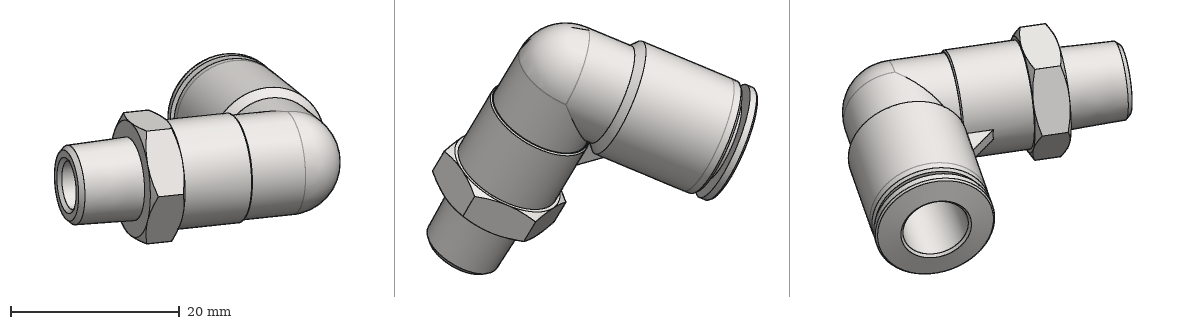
import cadquery as cq
import math


tube_diameter = 14.5
tube_length = 22.3
collar_bevel_start = 21.9
collar_bevel_end = 21.65
collar_back = 20.8
neck_flare_end = 20.4
socket_front = 19.93
socket_bevel_end = 19.6
socket_lip_end = 18.7
socket_lip_drop = 0.05
socket_back = 7.0
socket_taper_end = 6.0
collar_face_diameter = 14.1
neck_diameter = 9.35
neck_flare_diameter = 10.0

elbow_diameter = 12.5

overall_length = 35.15
thread_end = overall_length - tube_diameter / 2
thread_chamfer_length = 0.6
thread_chamfer_depth = 0.53
thread_base_diameter = 10.0
thread_taper = 1 / 16
sleeve_start = 6.75
sleeve_bevel = 0.18
sleeve_diameter = 13.1
hex_start = 15.45
hex_end = 19.85
hex_flats = 14.0
hex_chamfer_angle = 30.0

tube_bore_diameter = 7.95
tube_bore_end = 7.03
tube_lead_in = 0.3
inner_bore_diameter = 6.0
thread_bore_diameter = 5.8
thread_lead_in = 0.45

rib_reach = 17.0
rib_thickness = 1.48


def turned_x(profile):
    """Revolve (distance, radius) points about X, distances measured along -X."""
    points = [(-distance, radius) for distance, radius in profile]
    return cq.Workplane("XY").polyline(points).close().revolve(360, (0, 0), (1, 0))


def turned_y(profile):
    """Revolve (distance, radius) points about Y, distances measured along -Y."""
    points = [(radius, -distance) for distance, radius in profile]
    return cq.Workplane("XY").polyline(points).close().revolve(360, (0, 0), (0, 1))


tube_radius = tube_diameter / 2
elbow_radius = elbow_diameter / 2
tube_bore_radius = tube_bore_diameter / 2
inner_bore_radius = inner_bore_diameter / 2
thread_bore_radius = thread_bore_diameter / 2


def elbow():
    """Two equal cylinders mitred together with a ball on the outer corner."""
    ball = cq.Workplane("XY").sphere(elbow_radius)
    tube_arm = cq.Workplane("YZ").circle(elbow_radius).extrude(-socket_back)
    thread_arm = cq.Workplane("XZ").circle(elbow_radius).extrude(hex_start)
    return tube_arm.union(thread_arm).union(ball)


def tube_leg():
    """Release collar with a conical face, narrow neck and the socket body with its slightly tapered lip."""
    lip_radius = tube_radius - socket_lip_drop
    socket_bevel = socket_front - socket_bevel_end
    return turned_x([
        (0, 0),
        (0, elbow_radius),
        (socket_taper_end, elbow_radius),
        (socket_back, tube_radius),
        (socket_lip_end, tube_radius),
        (socket_bevel_end, lip_radius),
        (socket_front, lip_radius - socket_bevel),
        (socket_front, neck_diameter / 2),
        (neck_flare_end, neck_diameter / 2),
        (collar_back, neck_flare_diameter / 2),
        (collar_back, tube_radius),
        (collar_bevel_end, tube_radius),
        (collar_bevel_start, collar_face_diameter / 2),
        (tube_length, tube_bore_radius + tube_lead_in),
        (tube_length, 0),
    ])


def threaded_leg():
    """Sleeve next to the elbow and the tapered thread beyond the hexagon."""
    sleeve_radius = sleeve_diameter / 2
    base_radius = thread_base_diameter / 2
    chamfer_start = thread_end - thread_chamfer_length
    tip_radius = base_radius - (chamfer_start - hex_end) * thread_taper / 2
    return turned_y([
        (sleeve_start, 0),
        (sleeve_start, sleeve_radius - sleeve_bevel),
        (sleeve_start + sleeve_bevel, sleeve_radius),
        (hex_start, sleeve_radius),
        (hex_start, base_radius),
        (hex_end, base_radius),
        (chamfer_start, tip_radius),
        (thread_end, tip_radius - thread_chamfer_depth),
        (thread_end, 0),
    ])


def hexagon():
    """Wrench hexagon with points on X and conical chamfers on both faces."""
    flat_radius = hex_flats / 2
    corner_radius = flat_radius / math.cos(math.pi / 6)
    chamfer = (corner_radius - flat_radius) * math.tan(math.radians(hex_chamfer_angle))
    prism = (
        cq.Workplane("XZ", origin=(0, -hex_start, 0))
        .polygon(6, 2 * corner_radius)
        .extrude(hex_end - hex_start)
    )
    envelope = turned_y([
        (hex_start, 0),
        (hex_start, flat_radius),
        (hex_start + chamfer, corner_radius),
        (hex_end - chamfer, corner_radius),
        (hex_end, flat_radius),
        (hex_end, 0),
    ])
    return prism.intersect(envelope)


def rib():
    """Triangular web across the inside corner, cut at 45 degrees."""
    return (
        cq.Workplane("XY", origin=(0, 0, -rib_thickness / 2))
        .polyline([(0, 0), (-rib_reach, 0), (0, -rib_reach)])
        .close()
        .extrude(rib_thickness)
    )


def bores():
    """Stepped tube bore and thread bore meeting in a ball at the elbow."""
    tube_bore = turned_x([
        (0, 0),
        (0, inner_bore_radius),
        (tube_bore_end, inner_bore_radius),
        (tube_bore_end, tube_bore_radius),
        (tube_length - tube_lead_in, tube_bore_radius),
        (tube_length, tube_bore_radius + tube_lead_in),
        (tube_length, 0),
    ])
    thread_bore = turned_y([
        (0, 0),
        (0, thread_bore_radius),
        (thread_end - thread_lead_in, thread_bore_radius),
        (thread_end, thread_bore_radius + thread_lead_in),
        (thread_end, 0),
    ])
    ball = cq.Workplane("XY").sphere(inner_bore_radius)
    return tube_bore.union(thread_bore).union(ball)


body = elbow().union(tube_leg()).union(threaded_leg()).union(hexagon()).union(rib())
result = body.cut(bores())